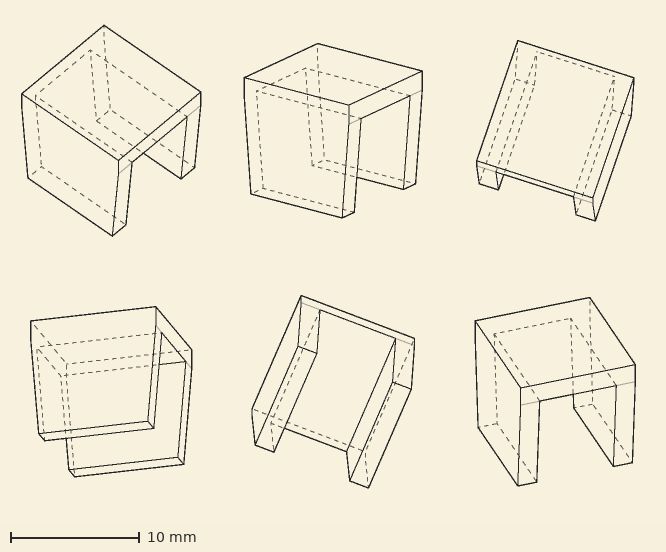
import cadquery as cq

top_length = 10.19
foot_length = 8.89
depth = 9.525
height = 9.525
wall = 1.5875

channel_width = depth - 2 * wall
channel_height = height - wall


def make_tapered_block():
    """Solid block whose ends are upright at the top plate and taper in to the feet."""
    outline = [
        (-foot_length / 2, 0),
        (foot_length / 2, 0),
        (top_length / 2, channel_height),
        (top_length / 2, height),
        (-top_length / 2, height),
        (-top_length / 2, channel_height),
    ]
    return cq.Workplane("XZ").polyline(outline).close().extrude(depth / 2, both=True)


def make_channel():
    """Rectangular channel along X that separates the two legs, open at the bottom."""
    return cq.Workplane("XY").box(
        top_length, channel_width, channel_height, centered=(True, True, False)
    )


result = make_tapered_block().cut(make_channel())